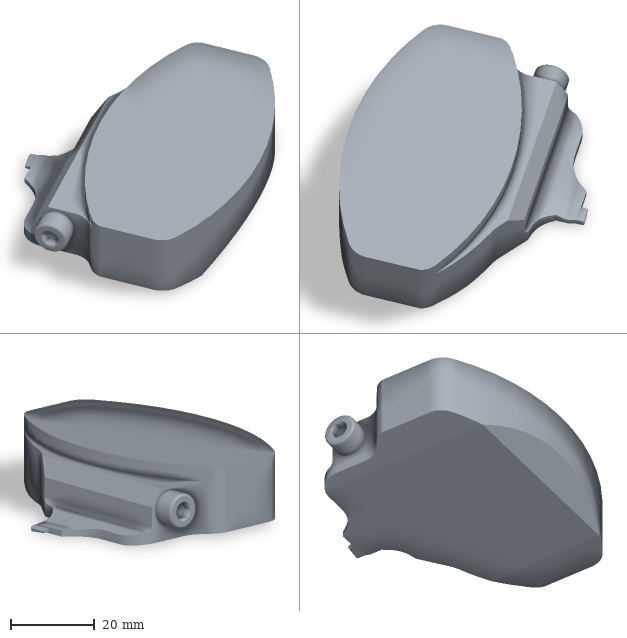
import cadquery as cq
import math


PLATE_LENGTH = 70.0
PLATE_HALF_WIDTH = 20.3
PLATE_SIDE_RADIUS = 60.55
PLATE_TOP = 17.3
CORNER_RADIUS = 6.0
LEFT_CORNER_X = -7.6
BACK_CORNER_Y = 32.8
FRONT_CORNER_Y = -32.0
PLATE_END = PLATE_LENGTH / 2
LEFT_SIDE_CENTRE_X = PLATE_SIDE_RADIUS - PLATE_HALF_WIDTH

END_CHAMFER_START = 25.2
END_CHAMFER_RISE = 1.05
SIDE_CHAMFER = 5.5

BLOCK_TOP = 13.6
BLOCK_FACE_X = -26.0
BLOCK_SLOPE_TOP_X = -23.0
BLOCK_SLOPE_BOTTOM = 9.4
BLOCK_END_Y = -29.0
BLOCK_END_BLEND_RADIUS = 5.45
BLADE_ROOT_RADIUS = 1.4
BLADE_ROOT_HEIGHT = 3.2
BLADE_THICKNESS = 1.5
BLADE_RAMP_OUTER_X = -33.75
BLADE_RAMP_INNER_X = -28.5
BLADE_KNEE_RADIUS = 1.25
BLADE_SIDE_X = -31.0
BLADE_TIP_X = -36.5
BLADE_CORNER_RADIUS = 6.15
BACK_WALL_MIDDLE = (-16.45, 24.85)
BACK_WALL_END = (-20.4, 16.9)
BACK_BLEND_MIDDLE = (-21.1, 15.6)
BACK_BEVEL_START = (-21.9, 14.4)
BACK_BEVEL_END = (-26.6, 8.1)
BACK_NECK_START = (-27.15, 5.75)
BACK_NECK_MIDDLE = (-28.4, 3.4)
BACK_NECK_END = (-31.2, 1.05)
FRONT_BEVEL_START_Y = -8.55
FRONT_BEVEL_END = (-34.8, -9.8)
FRONT_NECK_MIDDLE = (-32.2, -12.8)
FRONT_NECK_END_Y = -17.5

POCKET_WIDTH = 2.1
POCKET_HEIGHT = 2.7
POCKET_DEPTH = 0.15
POCKET_CORNER_RADIUS = 0.55
POCKET_CENTRE_Y = -32.75

SCREW_X = -20.6
SCREW_Z = 8.5
HEAD_DIAMETER = 8.5
HEAD_LENGTH = 5.2
HEAD_ROUNDING = 0.6
SOCKET_FLATS = 4.0
SOCKET_DEPTH = 2.1
SOCKET_MOUTH_DIAMETER = 4.75
SOCKET_CONE_HEIGHT = 1.2

INSERT_BACK_X = -26.95
INSERT_UPPER_Y = 1.4
INSERT_LOWER_Y = -4.3
INSERT_NOSE_LENGTH = 2.0
INSERT_RAKE_Y = 0.2
INSERT_TOP_EDGE_Y = 0.8
INSERT_TOP_EDGE_END_X = -34.6
INSERT_RAMP_SHIFT = 0.2
CUTTING_RADIUS = 0.8
CUTTING_DEPTH = 4.1
CUTTING_Z = 0.6
CUTTING_TAPER_ANGLE = 5.0

CUT_MARGIN = 3.5


def side_x(y):
    """X of the left long side of the oval plate at a given Y."""
    return LEFT_SIDE_CENTRE_X - math.sqrt(PLATE_SIDE_RADIUS**2 - y**2)


def oval_plate():
    right_x = -side_x(PLATE_END)
    plate = (
        cq.Workplane("XY")
        .moveTo(LEFT_CORNER_X, PLATE_END)
        .lineTo(right_x, PLATE_END)
        .threePointArc((PLATE_HALF_WIDTH, 0), (right_x, -PLATE_END))
        .lineTo(LEFT_CORNER_X, -PLATE_END)
        .radiusArc((side_x(FRONT_CORNER_Y), FRONT_CORNER_Y), CORNER_RADIUS)
        .threePointArc((-PLATE_HALF_WIDTH, 0), (side_x(BACK_CORNER_Y), BACK_CORNER_Y))
        .radiusArc((LEFT_CORNER_X, PLATE_END), CORNER_RADIUS)
        .close()
        .extrude(PLATE_TOP)
    )
    return plate.edges("|Z").edges(">X").fillet(CORNER_RADIUS)


def block_outline():
    """Plan shape of the block and blade, running on into the middle of the plate."""
    blend_y = BLOCK_END_Y - BLOCK_END_BLEND_RADIUS
    centre_distance = PLATE_SIDE_RADIUS + BLOCK_END_BLEND_RADIUS
    blend_angle = math.asin(-blend_y / centre_distance)
    blend_x = LEFT_SIDE_CENTRE_X - centre_distance * math.cos(blend_angle)

    def blend_point(angle):
        return (
            blend_x + BLOCK_END_BLEND_RADIUS * math.cos(angle),
            blend_y + BLOCK_END_BLEND_RADIUS * math.sin(angle),
        )

    corner_x = BLADE_SIDE_X + BLADE_CORNER_RADIUS
    corner_y = BLOCK_END_Y + BLADE_CORNER_RADIUS
    corner_reach = BLADE_CORNER_RADIUS * math.sqrt(0.5)
    return (
        cq.Workplane("XY")
        .moveTo(0, 0)
        .lineTo(side_x(BACK_CORNER_Y), BACK_CORNER_Y)
        .threePointArc(BACK_WALL_MIDDLE, BACK_WALL_END)
        .threePointArc(BACK_BLEND_MIDDLE, BACK_BEVEL_START)
        .lineTo(*BACK_BEVEL_END)
        .lineTo(*BACK_NECK_START)
        .threePointArc(BACK_NECK_MIDDLE, BACK_NECK_END)
        .lineTo(BACK_NECK_END[0], INSERT_TOP_EDGE_Y)
        .lineTo(INSERT_TOP_EDGE_END_X, INSERT_TOP_EDGE_Y)
        .lineTo(BLADE_TIP_X, INSERT_RAKE_Y)
        .lineTo(BLADE_TIP_X, FRONT_BEVEL_START_Y)
        .lineTo(*FRONT_BEVEL_END)
        .threePointArc(FRONT_NECK_MIDDLE, (BLADE_SIDE_X, FRONT_NECK_END_Y))
        .lineTo(BLADE_SIDE_X, corner_y)
        .threePointArc((corner_x - corner_reach, corner_y - corner_reach), (corner_x, BLOCK_END_Y))
        .lineTo(blend_x, BLOCK_END_Y)
        .threePointArc(blend_point((math.pi / 2 + blend_angle) / 2), blend_point(blend_angle))
        .close()
    )


def blade_section(ramp_shift=0.0):
    """Side shape of the block and blade, drawn through the full length of the part."""
    ramp_outer_x = BLADE_RAMP_OUTER_X - ramp_shift
    ramp_inner_x = BLADE_RAMP_INNER_X - ramp_shift
    section = (
        cq.Workplane("XZ")
        .moveTo(0, 0)
        .lineTo(BLADE_TIP_X, 0)
        .lineTo(BLADE_TIP_X, BLADE_THICKNESS)
        .lineTo(ramp_outer_x, BLADE_THICKNESS)
        .lineTo(ramp_inner_x, BLADE_ROOT_HEIGHT)
        .lineTo(BLOCK_FACE_X, BLADE_ROOT_HEIGHT)
        .lineTo(BLOCK_FACE_X, BLOCK_SLOPE_BOTTOM)
        .lineTo(BLOCK_SLOPE_TOP_X, BLOCK_TOP)
        .lineTo(0, BLOCK_TOP)
        .close()
        .extrude(PLATE_END, both=True)
    )
    knees = [(ramp_outer_x, BLADE_THICKNESS), (ramp_inner_x, BLADE_ROOT_HEIGHT)]
    for x, z in knees:
        section = section.edges(cq.NearestToPointSelector((x, 0, z))).fillet(BLADE_KNEE_RADIUS)
    root = cq.NearestToPointSelector((BLOCK_FACE_X, 0, BLADE_ROOT_HEIGHT))
    return section.edges(root).fillet(BLADE_ROOT_RADIUS)


def insert_seat():
    """Space taken by the insert: a straight slot through the blade, open at its tip."""
    length = INSERT_BACK_X - BLADE_TIP_X + CUT_MARGIN
    width = INSERT_UPPER_Y - INSERT_LOWER_Y
    height = BLADE_ROOT_HEIGHT + CUT_MARGIN
    seat = cq.Workplane("XY").box(length, width, height, centered=False)
    return seat.translate((BLADE_TIP_X - CUT_MARGIN, INSERT_LOWER_Y, 0))


def end_chamfer(side):
    """Wedge under one end of the holder; side is +1 or -1 along Y."""
    slope = END_CHAMFER_RISE / (PLATE_END - END_CHAMFER_START)
    outer_y = PLATE_END + CUT_MARGIN
    return (
        cq.Workplane("YZ")
        .moveTo(side * END_CHAMFER_START, 0)
        .lineTo(side * outer_y, slope * (outer_y - END_CHAMFER_START))
        .lineTo(side * outer_y, 0)
        .close()
        .extrude(PLATE_LENGTH, both=True)
    )


def side_chamfer():
    outer_x = PLATE_HALF_WIDTH + CUT_MARGIN
    start_x = PLATE_HALF_WIDTH - SIDE_CHAMFER
    return (
        cq.Workplane("XZ")
        .moveTo(start_x, 0)
        .lineTo(outer_x, outer_x - start_x)
        .lineTo(outer_x, 0)
        .close()
        .extrude(PLATE_LENGTH, both=True)
    )


def corner_pocket():
    """Shallow recess in the plate side, open at the top, with rounded lower corners."""
    normal_angle = math.degrees(math.asin(-POCKET_CENTRE_Y / PLATE_SIDE_RADIUS))
    pocket = (
        cq.Workplane("XY")
        .box(2 * POCKET_DEPTH, POCKET_WIDTH, POCKET_HEIGHT, centered=(True, True, False))
        .edges("|X and <Z")
        .fillet(POCKET_CORNER_RADIUS)
    )
    return pocket.rotate((0, 0, 0), (0, 0, 1), normal_angle).translate(
        (side_x(POCKET_CENTRE_Y), POCKET_CENTRE_Y, PLATE_TOP - POCKET_HEIGHT)
    )


def screw_head():
    """Socket head, built upright and then laid down to point along -Y."""
    head = cq.Workplane("XY").circle(HEAD_DIAMETER / 2).extrude(HEAD_LENGTH)
    head = head.faces(">Z").edges().fillet(HEAD_ROUNDING)

    corner_radius = SOCKET_FLATS / math.sqrt(3)
    mouth_radius = SOCKET_MOUTH_DIAMETER / 2
    socket_floor = HEAD_LENGTH - SOCKET_DEPTH
    socket = (
        cq.Workplane("XY", origin=(0, 0, socket_floor))
        .polygon(6, 2 * corner_radius)
        .extrude(SOCKET_DEPTH)
    )
    drill_point = cq.Solid.makeCone(
        0, SOCKET_FLATS / 2, SOCKET_CONE_HEIGHT, pnt=(0, 0, socket_floor - SOCKET_CONE_HEIGHT)
    )
    mouth_height = mouth_radius - SOCKET_FLATS / 2
    mouth = cq.Solid.makeCone(
        SOCKET_FLATS / 2, mouth_radius, mouth_height, pnt=(0, 0, HEAD_LENGTH - mouth_height)
    )
    head = head.cut(socket).cut(cq.Workplane(drill_point)).cut(cq.Workplane(mouth))
    return head.rotate((0, 0, 0), (1, 0, 0), 90).translate((SCREW_X, BLOCK_END_Y, SCREW_Z))


def make_holder():
    block = block_outline().extrude(BLOCK_TOP).intersect(blade_section())
    holder = oval_plate().union(block)
    for side in (1, -1):
        holder = holder.cut(end_chamfer(side))
    holder = holder.cut(side_chamfer()).cut(corner_pocket()).cut(insert_seat())
    return holder.union(screw_head())


def cutting_nose():
    """Round-nosed cutting tip that tapers away below its rake face."""
    nose_x = BLADE_TIP_X - INSERT_NOSE_LENGTH
    inner_x = BLADE_TIP_X + CUTTING_RADIUS
    return (
        cq.Workplane("XZ", origin=(0, INSERT_RAKE_Y, CUTTING_Z))
        .moveTo(inner_x, CUTTING_RADIUS)
        .lineTo(nose_x + CUTTING_RADIUS, CUTTING_RADIUS)
        .threePointArc((nose_x, 0), (nose_x + CUTTING_RADIUS, -CUTTING_RADIUS))
        .lineTo(inner_x, -CUTTING_RADIUS)
        .close()
        .extrude(CUTTING_DEPTH, taper=CUTTING_TAPER_ANGLE)
    )


def make_insert():
    shank = block_outline().extrude(BLADE_ROOT_HEIGHT)
    shank = shank.intersect(blade_section(INSERT_RAMP_SHIFT)).intersect(insert_seat())
    return shank.union(cutting_nose())


holder = make_holder()
insert = make_insert()

result = cq.Compound.makeCompound([holder.val(), insert.val()])